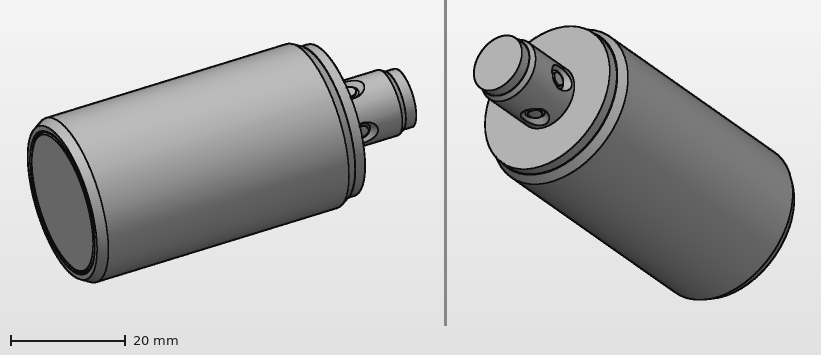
import cadquery as cq
import math

length = 66.0
face_y = -length / 2
end_y = length / 2

body_radius = 15.015
bevel_angle = 30.0
bevel_slope = math.tan(math.radians(bevel_angle))
bevel_length = 1.7
rim_radius = body_radius - bevel_length * bevel_slope
collar_radius = 13.85
collar_length = 2.0

connector_length = 14.0
sleeve_radius = 6.0
sleeve_bevel_length = 1.0
sleeve_bevel_radius = sleeve_radius - sleeve_bevel_length * bevel_slope
core_radius = 5.35
core_projection = 2.05

collar_back_y = end_y - connector_length
collar_front_y = collar_back_y - collar_length
sleeve_end_y = end_y - core_projection

groove_outer_radius = 13.1
groove_floor_outer_radius = 12.9
groove_floor_inner_radius = 12.7
groove_inner_radius = 12.4
groove_depth = 0.25

dimple_count = 4
dimple_from_end = 10.5
dimple_depth = 1.05
dimple_floor_radius = 1.7
dimple_overshoot = 0.65
peg_radius = 1.25


def revolve_profile(points):
    """Revolve a closed (radius, y) outline about the Y axis."""
    return cq.Workplane("XY").polyline(points).close().revolve(360, (0, 0, 0), (0, 1, 0))


def make_blank():
    return revolve_profile([
        (0, face_y),
        (rim_radius, face_y),
        (body_radius, face_y + bevel_length),
        (body_radius, collar_front_y - bevel_length),
        (rim_radius, collar_front_y),
        (collar_radius, collar_front_y),
        (collar_radius, collar_back_y),
        (sleeve_radius, collar_back_y),
        (sleeve_radius, sleeve_end_y - sleeve_bevel_length),
        (sleeve_bevel_radius, sleeve_end_y),
        (core_radius, sleeve_end_y),
        (core_radius, end_y),
        (0, end_y),
    ])


def make_face_groove():
    return revolve_profile([
        (groove_outer_radius, face_y),
        (groove_floor_outer_radius, face_y + groove_depth),
        (groove_floor_inner_radius, face_y + groove_depth),
        (groove_inner_radius, face_y),
    ])


def make_dimple():
    """Cutter for the upper dimple: a 45 degree cone, less the peg rounded to the core."""
    floor_z = sleeve_radius - dimple_depth
    cone_height = dimple_depth + dimple_overshoot
    dimple_y = end_y - dimple_from_end
    cone = cq.Solid.makeCone(
        dimple_floor_radius,
        dimple_floor_radius + cone_height,
        cone_height,
        cq.Vector(0, dimple_y, floor_z),
    )
    peg = cq.Workplane("XY").center(0, dimple_y).circle(peg_radius).extrude(sleeve_radius)
    core = cq.Workplane("XZ", origin=(0, end_y, 0)).circle(core_radius).extrude(connector_length)
    return cq.Workplane(cone).cut(peg.intersect(core))


result = make_blank().cut(make_face_groove())
dimple = make_dimple()
for index in range(dimple_count):
    angle = index * 360 / dimple_count
    result = result.cut(dimple.rotate((0, 0, 0), (0, 1, 0), angle))